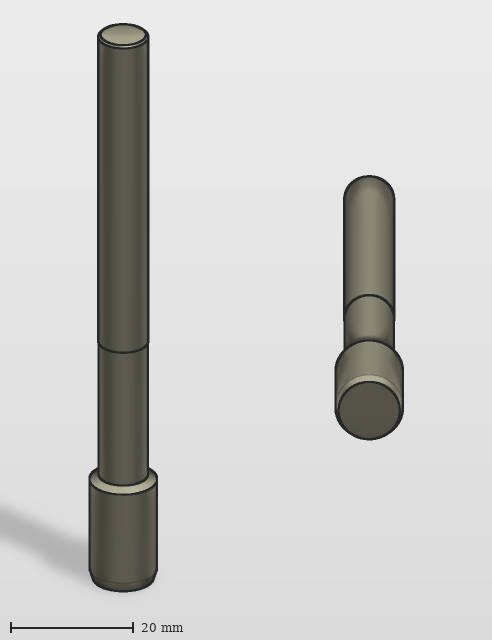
import cadquery as cq

total_length = 100.0
tip_chamfer_height = 1.8
head_length = 18.1
shoulder_height = 0.9
neck_end = 43.5
shank_chamfer = 0.4

head_diameter = 11.1
tip_diameter = 10.0
neck_diameter = 8.1
shank_diameter = 8.2

head_radius = head_diameter / 2
tip_radius = tip_diameter / 2
neck_radius = neck_diameter / 2
shank_radius = shank_diameter / 2
shoulder_top = head_length + shoulder_height


def revolve_profile(points):
    """Turn a closed outline of (radius, height) points about the Z axis."""
    return cq.Workplane("XZ").polyline(points).close().revolve(360, (0, 0), (0, 1))


def make_cutting_head():
    """Cylindrical head with a chamfered tip and a flat top for the holder."""
    return revolve_profile([
        (0, 0),
        (tip_radius, 0),
        (head_radius, tip_chamfer_height),
        (head_radius, head_length),
        (0, head_length),
    ])


def make_holder():
    """Shoulder cone, neck and slightly thicker shank with a chamfered end."""
    return revolve_profile([
        (0, head_length),
        (head_radius, head_length),
        (neck_radius, shoulder_top),
        (neck_radius, neck_end),
        (shank_radius, neck_end),
        (shank_radius, total_length - shank_chamfer),
        (shank_radius - shank_chamfer, total_length),
        (0, total_length),
    ])


cutting_head = make_cutting_head()
holder = make_holder()
result = cq.Compound.makeCompound([cutting_head.val(), holder.val()])